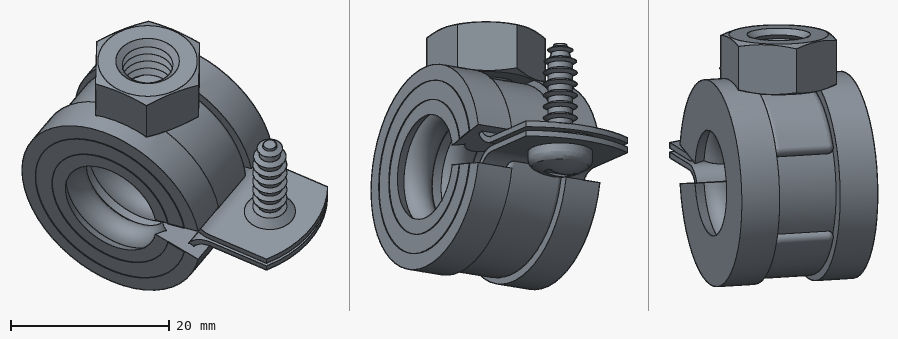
import cadquery as cq
import math


LINER_RADIUS = 13.1
LINER_WIDTH = 18.0
LIP_RADIUS = 6.68
BEAD_TIP_RADIUS = 6.05
BEAD_ROUND = 2.23
BEAD_PITCH = 5.5
VALLEY_RADIUS = 7.45
GROOVE_WIDTH = 8.0
GAP_HALF_ANGLE = 11.0

RING_INNER_RADIUS = 8.6
RING_OUTER_RADIUS = 11.05
RING_THICKNESS = 0.1

BAND_INNER_RADIUS = 10.6
BAND_THICKNESS = 0.75
BAND_WIDTH = 15.0
BAND_OUTER_RADIUS = BAND_INNER_RADIUS + BAND_THICKNESS
EAR_GAP = 0.5
EAR_BEND_RADIUS = 2.95
EAR_CORNER_X = 22.0
EAR_END_X = 24.0
EAR_FACE_Z = EAR_GAP / 2 + BAND_THICKNESS

PAD_RADIUS = 12.4
PAD_START_ANGLE = 6.2
PAD_END_ANGLE = 154.0
PAD_ROUND = 0.75

SCREW_X = 18.0
THREAD_RADIUS = 2.15
CORE_RADIUS = 1.55
RIDGE_PITCH = 1.5
RIDGE_HALF_HEIGHT = 0.37
RIDGE_COUNT = 7
COLLAR_TOP_Z = 1.93
COLLAR_BASE_RADIUS = 3.23
TAPER_START_Z = 10.55
TIP_Z = 13.0
TIP_RADIUS = 0.8
HEAD_RADIUS = 4.08
HEAD_HEIGHT = 3.1
HEAD_DOME_RADIUS = 6.3
HEAD_ROUND = 1.1
SLOT_WIDTH = 1.2
SLOT_DEPTH = 0.37

WASHER_RADIUS = 5.05

NUT_FLATS = 13.0
NUT_TOP_Z = 18.6
NUT_BOTTOM_Z = 12.05
NUT_FACE_RADIUS = 6.27
NUT_CHAMFER_HEIGHT = 0.45
NUT_CORE_RADIUS = 3.2
NUT_THREAD_RADIUS = 4.0
NUT_ENTRY_DEPTH = 0.7
NUT_PITCH = 1.25

LARGE = 2 * LINER_RADIUS


def polar(radius, angle):
    """Point in the XZ plane at an angle in degrees from +X."""
    return radius * math.cos(math.radians(angle)), radius * math.sin(math.radians(angle))


def ring_sector(inner, outer, start, end, width):
    """Ring sector about the Y axis, centred on Y = 0."""
    middle = (start + end) / 2
    return (
        cq.Workplane("XZ")
        .moveTo(*polar(inner, start))
        .lineTo(*polar(outer, start))
        .threePointArc(polar(outer, middle), polar(outer, end))
        .lineTo(*polar(inner, end))
        .threePointArc(polar(inner, middle), polar(inner, start))
        .close()
        .extrude(width / 2, both=True)
    )


def cylinder_on_screw_axis(radius, bottom, top):
    return (
        cq.Workplane("XY", origin=(SCREW_X, 0, bottom))
        .circle(radius)
        .extrude(top - bottom)
    )


def make_gap_wedge():
    """Wedge that opens the liner and its ring towards +X."""
    reach = LARGE * math.tan(math.radians(GAP_HALF_ANGLE))
    return (
        cq.Workplane("XZ")
        .polyline([(0, 0), (LARGE, reach), (LARGE, -reach)])
        .close()
        .extrude(LARGE, both=True)
    )


def make_strap():
    """Bent strip: a ring around the liner, an outward bend at each end and two flat ears."""
    outer_bend = EAR_BEND_RADIUS
    inner_bend = EAR_BEND_RADIUS + BAND_THICKNESS
    bend_z = EAR_GAP / 2 + inner_bend
    bend_distance = BAND_INNER_RADIUS + inner_bend
    bend_x = math.sqrt(bend_distance**2 - bend_z**2)
    tangent_angle = math.degrees(math.atan2(bend_z, bend_x))

    def bend_middle(radius, side):
        x, z = polar(radius, (180 + tangent_angle + 270) / 2)
        return bend_x + x, side * (bend_z + z)

    strap = (
        cq.Workplane("XZ")
        .moveTo(EAR_END_X, EAR_GAP / 2)
        .lineTo(bend_x, EAR_GAP / 2)
        .threePointArc(bend_middle(inner_bend, 1), polar(BAND_INNER_RADIUS, tangent_angle))
        .threePointArc((-BAND_INNER_RADIUS, 0), polar(BAND_INNER_RADIUS, -tangent_angle))
        .threePointArc(bend_middle(inner_bend, -1), (bend_x, -EAR_GAP / 2))
        .lineTo(EAR_END_X, -EAR_GAP / 2)
        .lineTo(EAR_END_X, -EAR_FACE_Z)
        .lineTo(bend_x, -EAR_FACE_Z)
        .threePointArc(bend_middle(outer_bend, -1), polar(BAND_OUTER_RADIUS, -tangent_angle))
        .threePointArc((-BAND_OUTER_RADIUS, 0), polar(BAND_OUTER_RADIUS, tangent_angle))
        .threePointArc(bend_middle(outer_bend, 1), (bend_x, EAR_FACE_Z))
        .lineTo(EAR_END_X, EAR_FACE_Z)
        .close()
        .extrude(BAND_WIDTH / 2, both=True)
    )
    plan = (
        cq.Workplane("XY", origin=(0, 0, -LARGE))
        .moveTo(-LARGE, -BAND_WIDTH / 2)
        .lineTo(EAR_CORNER_X, -BAND_WIDTH / 2)
        .threePointArc((EAR_END_X, 0), (EAR_CORNER_X, BAND_WIDTH / 2))
        .lineTo(-LARGE, BAND_WIDTH / 2)
        .close()
        .extrude(2 * LARGE)
    )
    return strap.intersect(plan)


def make_pad():
    """Raised pad filling the groove of the liner, rounded on top and at its far end."""
    pad = ring_sector(BAND_INNER_RADIUS, PAD_RADIUS, PAD_START_ANGLE, PAD_END_ANGLE, GROOVE_WIDTH)
    end_x, end_z = polar(PAD_RADIUS, PAD_END_ANGLE)
    near_end = cq.selectors.BoxSelector(
        (end_x - BAND_THICKNESS, -LARGE, end_z - BAND_THICKNESS),
        (end_x + 2 * BAND_THICKNESS, LARGE, end_z + BAND_THICKNESS),
    )
    top_sides = cq.selectors.RadiusNthSelector(-1)
    edges = pad.edges(near_end).vals() + pad.edges("%CIRCLE").edges(top_sides).vals()
    band_core = cq.Workplane("XZ").circle(BAND_OUTER_RADIUS).extrude(LARGE, both=True)
    return pad.newObject(edges).fillet(PAD_ROUND).cut(band_core)


def make_collar():
    """Cone on the upper ear, sharp-edged around the screw hole."""
    return (
        cq.Workplane("XZ", origin=(SCREW_X, 0, 0))
        .polyline([
            (THREAD_RADIUS, EAR_FACE_Z),
            (COLLAR_BASE_RADIUS, EAR_FACE_Z),
            (THREAD_RADIUS, COLLAR_TOP_Z),
        ])
        .close()
        .revolve(360, (0, 0, 0), (0, 1, 0))
    )


def make_band():
    """One strap from ear to ear, with both pads, the screw hole and the collar."""
    screw_hole = cylinder_on_screw_axis(THREAD_RADIUS, -LARGE, LARGE)
    pad = make_pad()
    return make_strap().cut(screw_hole).union(pad).union(pad.mirror("XY")).union(make_collar())


def make_nut_blank():
    """Hexagon with corners on X, chamfered at both ends."""
    height = NUT_TOP_Z - NUT_BOTTOM_Z
    corner_radius = NUT_FLATS / math.sqrt(3)
    hexagon = (
        cq.Workplane("XY", origin=(0, 0, NUT_BOTTOM_Z))
        .polygon(6, 2 * corner_radius)
        .extrude(height)
    )
    chamfer_envelope = (
        cq.Workplane("XZ")
        .polyline([
            (0, NUT_BOTTOM_Z),
            (NUT_FACE_RADIUS, NUT_BOTTOM_Z),
            (corner_radius, NUT_BOTTOM_Z + NUT_CHAMFER_HEIGHT),
            (corner_radius, NUT_TOP_Z - NUT_CHAMFER_HEIGHT),
            (NUT_FACE_RADIUS, NUT_TOP_Z),
            (0, NUT_TOP_Z),
        ])
        .close()
        .revolve(360, (0, 0, 0), (0, 1, 0))
    )
    return hexagon.intersect(chamfer_envelope)


def make_threaded_bore():
    """Bore of the nut with ring-shaped V grooves and a conical entry."""
    profile = [(0, NUT_TOP_Z), (NUT_THREAD_RADIUS, NUT_TOP_Z)]
    crest_z = NUT_TOP_Z - NUT_ENTRY_DEPTH
    while crest_z > NUT_BOTTOM_Z - NUT_PITCH:
        profile.append((NUT_CORE_RADIUS, crest_z))
        profile.append((NUT_THREAD_RADIUS, crest_z - NUT_PITCH / 2))
        crest_z -= NUT_PITCH
    profile.append((0, crest_z + NUT_PITCH / 2))
    return cq.Workplane("XZ").polyline(profile).close().revolve(360, (0, 0, 0), (0, 1, 0))


def make_liner(gap_wedge, band, nut_blank):
    """Split ring with three round beads in its bore, a groove outside and room for band and nut."""
    half_width = LINER_WIDTH / 2
    half_groove = GROOVE_WIDTH / 2
    bead_depth = VALLEY_RADIUS - BEAD_TIP_RADIUS
    bead_half_chord = math.sqrt(BEAD_ROUND**2 - (BEAD_ROUND - bead_depth) ** 2)

    profile = cq.Workplane("XY").moveTo(LIP_RADIUS, -half_width)
    for bead_y in (-BEAD_PITCH, 0, BEAD_PITCH):
        profile = profile.lineTo(VALLEY_RADIUS, bead_y - bead_half_chord).threePointArc(
            (BEAD_TIP_RADIUS, bead_y), (VALLEY_RADIUS, bead_y + bead_half_chord)
        )
    ring = (
        profile.lineTo(LIP_RADIUS, half_width)
        .lineTo(LINER_RADIUS, half_width)
        .lineTo(LINER_RADIUS, half_groove)
        .lineTo(BAND_OUTER_RADIUS, half_groove)
        .lineTo(BAND_OUTER_RADIUS, -half_groove)
        .lineTo(LINER_RADIUS, -half_groove)
        .lineTo(LINER_RADIUS, -half_width)
        .close()
        .revolve(360, (0, 0, 0), (0, 1, 0))
    )
    return ring.cut(gap_wedge).cut(band).cut(nut_blank)


def make_marking_ring(gap_wedge):
    return (
        cq.Workplane("XZ", origin=(0, -LINER_WIDTH / 2, 0))
        .circle(RING_OUTER_RADIUS)
        .circle(RING_INNER_RADIUS)
        .extrude(RING_THICKNESS)
        .cut(gap_wedge)
    )


def make_washer():
    """Thin washer between the two ears."""
    disc = cylinder_on_screw_axis(WASHER_RADIUS, -EAR_GAP / 2, EAR_GAP / 2)
    return disc.cut(cylinder_on_screw_axis(THREAD_RADIUS, -EAR_GAP / 2, EAR_GAP / 2))


def make_screw_head():
    """Slotted round head below the lower ear."""
    top_z = -EAR_FACE_Z
    bottom_z = top_z - HEAD_HEIGHT
    dome_drop = HEAD_DOME_RADIUS - math.sqrt(HEAD_DOME_RADIUS**2 - HEAD_RADIUS**2)
    arc_x = HEAD_RADIUS / 2
    arc_z = bottom_z + HEAD_DOME_RADIUS - math.sqrt(HEAD_DOME_RADIUS**2 - arc_x**2)
    head = (
        cq.Workplane("XZ", origin=(SCREW_X, 0, 0))
        .moveTo(0, top_z)
        .lineTo(HEAD_RADIUS, top_z)
        .lineTo(HEAD_RADIUS, bottom_z + dome_drop)
        .threePointArc((arc_x, arc_z), (0, bottom_z))
        .close()
        .revolve(360, (0, 0, 0), (0, 1, 0))
    )
    rim = cq.selectors.BoxSelector(
        (-LARGE, -LARGE, bottom_z), (LARGE, LARGE, top_z - HEAD_ROUND)
    )
    head = head.edges("%CIRCLE").edges(rim).fillet(HEAD_ROUND)
    slot = (
        cq.Workplane("XY", origin=(SCREW_X, 0, bottom_z))
        .rect(SLOT_WIDTH, 2 * HEAD_RADIUS)
        .extrude(SLOT_DEPTH)
    )
    return head.cut(slot)


def core_radius_at(z):
    """Core radius of the screw: constant, then tapering to the tip."""
    if z <= TAPER_START_Z:
        return CORE_RADIUS
    taper = (z - TAPER_START_Z) / (TIP_Z - TAPER_START_Z)
    return CORE_RADIUS + taper * (TIP_RADIUS - CORE_RADIUS)


def make_screw():
    """Screw pointing up: plain shank through the ears, then ring-shaped thread ridges."""
    ridge_height = THREAD_RADIUS - CORE_RADIUS
    profile = [
        (0, -EAR_FACE_Z),
        (THREAD_RADIUS, -EAR_FACE_Z),
        (THREAD_RADIUS, COLLAR_TOP_Z),
        (CORE_RADIUS, COLLAR_TOP_Z + RIDGE_HALF_HEIGHT),
    ]
    for index in range(1, RIDGE_COUNT + 1):
        crest_z = COLLAR_TOP_Z + index * RIDGE_PITCH
        lower_z = crest_z - RIDGE_HALF_HEIGHT
        upper_z = crest_z + RIDGE_HALF_HEIGHT
        profile.append((core_radius_at(lower_z), lower_z))
        profile.append((core_radius_at(crest_z) + ridge_height, crest_z))
        profile.append((core_radius_at(upper_z), upper_z))
    profile += [(TIP_RADIUS, TIP_Z), (0, TIP_Z)]
    shank = (
        cq.Workplane("XZ", origin=(SCREW_X, 0, 0))
        .polyline(profile)
        .close()
        .revolve(360, (0, 0, 0), (0, 1, 0))
    )
    return shank.union(make_screw_head())


gap_wedge = make_gap_wedge()
nut_blank = make_nut_blank()
band = make_band()
liner = make_liner(gap_wedge, band, nut_blank)
marking_ring = make_marking_ring(gap_wedge)
nut = nut_blank.cut(make_threaded_bore()).cut(band)
washer = make_washer()
screw = make_screw()

result = cq.Compound.makeCompound([
    liner.val(),
    marking_ring.val(),
    band.val(),
    nut.val(),
    washer.val(),
    screw.val(),
])